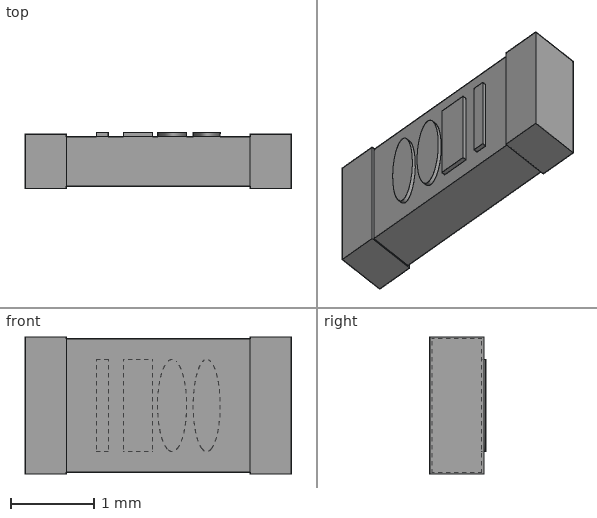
import cadquery as cq

length = 3.2
cap_depth = 0.655
height = 1.65
cap_length = 0.495

body_height = 1.61
body_inset = 0.03
body_depth = cap_depth - 2 * body_inset

mark_rise = 0.05
mark_height = 1.107
mark_embed = 0.015
bar_marks = [(-0.672, 0.145), (-0.243, 0.352)]
round_marks = [(0.165, 0.352), (0.582, 0.325)]


def end_cap(side):
    """Rectangular terminal at the -X (side = -1) or +X (side = 1) end."""
    centre_x = side * (length - cap_length) / 2
    return cq.Workplane("XY").box(cap_length, cap_depth, height).translate((centre_x, 0, 0))


def mark_plane(centre_x):
    """Sketch plane just under the back face, facing -Y."""
    return cq.Workplane("XZ", origin=(centre_x, body_depth / 2 - mark_embed, 0))


def raise_mark(outline):
    """Extrude a mark outline towards +Y."""
    return outline.extrude(-(mark_rise + mark_embed))


result = cq.Workplane("XY").box(length - cap_length, body_depth, body_height)
for side in (-1, 1):
    result = result.union(end_cap(side))

for centre_x, width in bar_marks:
    result = result.union(raise_mark(mark_plane(centre_x).rect(width, mark_height)))

for centre_x, width in round_marks:
    outline = mark_plane(centre_x).ellipse(width / 2, mark_height / 2)
    result = result.union(raise_mark(outline))